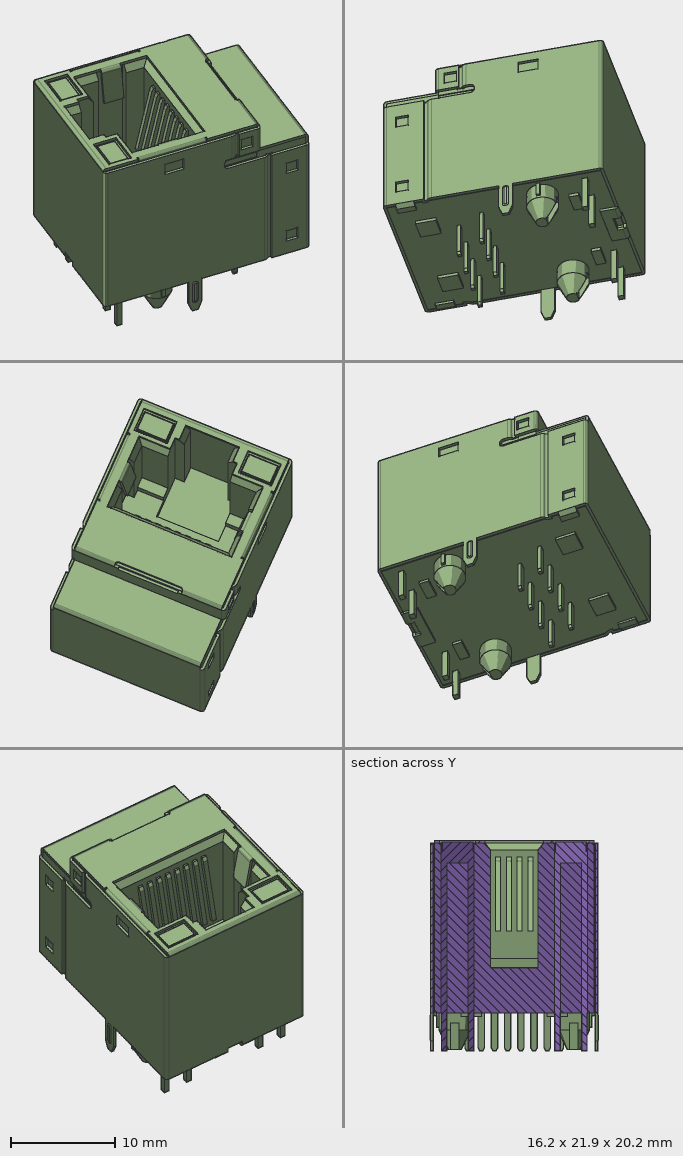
import cadquery as cq


half_width = 8.04
length = 21.85
height = 16.58
upper_length = 16.66
shelf_height = 13.56
sheet = 0.28
bend = 0.35
cover_half_width = 7.67
panel_inner = half_width - sheet
plate_bottom = height - sheet
shelf_bottom = shelf_height - sheet
rear_step = upper_length - sheet

slot_front = 12.75
slot_bottom = 12.54
slot_corner = 0.44
slot_relief_depth = 0.09
slot_relief_top = 13.2
lower_jog = (17.0, 17.78)
upper_jog = (13.56, 14.33)
tail_lap = 0.22
window_size = 1.25
rear_window_y = 19.95
rear_window_heights = (2.15, 10.42)
upper_window = (15.15, 14.94)
latch_window = (7.43, 14.68)
latch_window_length = 2.0

edge_tab = (3.8, 11.07)
edge_tab_bottom = 13.55
relief = 0.13
tab_bend = 0.26
notch_half_width = 3.5
notch_front = 16.12
notch_taper = 0.17
notch_wall_half_width = 3.1
notch_wall_top = 15.95

opening_half_width = 6.49
opening_front = 3.65
opening_rear = 11.4
lead_in = 0.52
lead_in_depth = 0.65
cavity_floor = 5.25
shoulder_rear = 5.25
shoulder_top = 6.12
latch_half_width = 3.23
latch_front = 2.45
latch_rear = 6.97
latch_floor = 4.37
key_half_width = 2.8
key_front = 0.87

finger_y = 7.51
finger_width = 2.07
finger_slot_width = 2.93
finger_slot_half_span = 6.8
finger_bend_run = 0.35
finger_tip_x = 5.57
finger_tip_z = 13.0

contact_count = 8
contact_pitch = 1.05
contact_width = 0.48
contact_thick = 0.4
contact_top = 14.95
contact_foot_y = 8.95
contact_foot_z = 7.86
pin_pitch = 1.27
pin_width = 0.63
pin_thick = 0.35
pin_rows = (12.93, 15.5)
pin_tip = 0.28
pin_tip_inset = 0.164
tail_bottom = -3.63

peg_x = 5.7
peg_y = 6.6
peg_diameter = 3.05
peg_tip_diameter = 1.25
peg_shoulder = -1.64
peg_bottom = -3.52
peg_slot_width = 0.8
peg_slot_top = -0.95
peg_slot_depth = 1.07
rib_width = 0.37
rib_bottom = -1.38
rib_height = 0.22
pad_x = 4.13
pad_width = 1.99
pad_height = 0.35
pad_ranges_y = ((3.17, 4.13), (17.35, 19.37))

tail_y = 9.65
tail_width = 1.38
tail_tip_width = 0.63
tail_taper_start = -2.7
boss_width = 0.61
boss_top = -0.13
boss_bottom = -2.66
boss_height = 0.07
boss_taper = 68
front_tab_half_width = 2.23
front_tab_length = 1.81
front_hole_half_width = 0.83
front_hole_height = 0.41
front_hole_depth = 0.87
front_recess_height = 0.26
rear_tab = (18.78, 20.62)
rear_tab_reach = 1.1
rear_tab_chamfer = 0.48

lamp_x = 5.44
lamp_y = 2.07
lamp_window = (3.43, 2.4)
lamp_pocket = (3.15, 2.0)
lamp_gap = 0.09
lens_rise = 0.13
lamp_base_top = 15.5
lamp_base_bottom = 14.41
lead_size = 0.55
lead_spacing = 2.58

SIDES = (-1, 1)


def block(x0, x1, y0, y1, z0, z1):
    """Axis-aligned box between two corners; X limits may come in either order."""
    solid = cq.Workplane("XY").box(abs(x1 - x0), y1 - y0, z1 - z0, centered=False)
    return solid.translate((min(x0, x1), y0, z0))


def side_profile(points, half):
    """Solid of a closed (Y, Z) outline, centred on X = 0."""
    return cq.Workplane("YZ").polyline(points).close().extrude(half, both=True)


def step_outline(front, rear, step, top, shelf):
    """(Y, Z) outline of the tall front block and the low rear block."""
    return [(front, 0), (rear, 0), (rear, shelf), (step, shelf), (step, top), (front, top)]


def jack_opening(z0, z1, inset=0.0):
    """Plug opening between two heights, shrunk by the inset."""
    half = opening_half_width - inset
    return block(-half, half, opening_front + inset, opening_rear - inset, z0, z1)


def cover():
    """Bent strip of front wall, top plate, rear step, shelf and rear wall."""
    outside = side_profile(step_outline(0, length, upper_length, height, shelf_height), cover_half_width)
    for y, z in ((0, height), (upper_length, height), (length, shelf_height)):
        outside = outside.edges(cq.selectors.NearestToPointSelector((0, y, z))).fillet(bend)
    inside = side_profile(
        step_outline(sheet, length - sheet, rear_step, plate_bottom, shelf_bottom), cover_half_width
    )
    return outside.cut(inside)


def folded_tab(side):
    """Side tab folded down from the top plate, inside the side panel."""
    return block(side * (cover_half_width - sheet), side * cover_half_width,
                 *edge_tab, edge_tab_bottom, height)


def round_folded_edge(plate, side):
    """Relieve both ends of a folded tab and round its fold."""
    for y in edge_tab:
        plate = plate.cut(
            block(side * (cover_half_width - sheet), side * half_width,
                  y - relief / 2, y + relief / 2, plate_bottom - sheet, height)
        )
    middle = (side * cover_half_width, sum(edge_tab) / 2, height)
    return plate.edges(cq.selectors.NearestToPointSelector(middle)).fillet(tab_bend)


def ring(rear, z0, z1):
    """Upright sheet wall around the front block or the whole part."""
    outside = block(-half_width, half_width, 0, rear, z0, z1).edges("|Z").fillet(bend)
    return outside.cut(block(-panel_inner, panel_inner, sheet, rear - sheet, z0, z1))


def jogged_panel(side, jog, z0, z1):
    """Stretch of side panel that steps in by one sheet thickness and runs on behind the flap."""
    start, end = jog
    middle = (start + end) / 2
    tail_end = end + tail_lap
    inner = panel_inner - sheet
    panel = (
        cq.Workplane("XY", origin=(0, 0, z0))
        .moveTo(half_width, start - sheet)
        .lineTo(half_width, start)
        .tangentArcPoint((half_width - sheet / 2, middle), relative=False)
        .tangentArcPoint((panel_inner, end), relative=False)
        .lineTo(panel_inner, tail_end)
        .lineTo(inner, tail_end)
        .lineTo(inner, end)
        .tangentArcPoint((inner + sheet / 2, middle), relative=False)
        .tangentArcPoint((panel_inner, start), relative=False)
        .lineTo(panel_inner, start - sheet)
        .close()
        .extrude(z1 - z0)
    )
    return panel if side > 0 else panel.mirror("YZ")


def wall_ring(rear, jog, z0, z1, panel_bottom, panel_top):
    """Ring with the overlap joint on both sides."""
    wall = ring(rear, z0, z1)
    for side in SIDES:
        wall = wall.cut(block(side * panel_inner, side * half_width, *jog, z0, z1))
        wall = wall.union(jogged_panel(side, jog, panel_bottom, panel_top))
    return wall


def side_slot(side):
    """Slot between the upper and the lower side panel, round at its front end."""
    slot = block(side * cover_half_width, side * half_width, slot_front, length, slot_bottom, shelf_height)
    return slot.edges("|X and <Y").fillet(slot_corner)


def side_window(side, y, z, width):
    return block(side * panel_inner, side * half_width, y - width / 2, y + width / 2,
                 z - window_size / 2, z + window_size / 2)


def spring_finger(side):
    """Finger bent from the top plate down into the opening."""
    bend_end = opening_half_width - finger_bend_run
    finger = (
        cq.Workplane("XZ", origin=(0, finger_y + finger_width / 2, 0))
        .moveTo(opening_half_width + sheet, height)
        .lineTo(opening_half_width, height)
        .tangentArcPoint((bend_end, height - finger_bend_run), relative=False)
        .lineTo(finger_tip_x, finger_tip_z)
        .lineTo(finger_tip_x + sheet, finger_tip_z)
        .lineTo(bend_end + sheet, plate_bottom)
        .lineTo(opening_half_width + sheet, plate_bottom)
        .close()
        .extrude(finger_width)
    )
    return finger if side > 0 else finger.mirror("YZ")


def board_tail(side):
    """Pointed solder tail with a raised bead, hanging from the side panel."""
    tail = (
        cq.Workplane("YZ", origin=(panel_inner, 0, 0))
        .polyline([
            (tail_y - tail_width / 2, sheet), (tail_y - tail_width / 2, tail_taper_start),
            (tail_y - tail_tip_width / 2, tail_bottom), (tail_y + tail_tip_width / 2, tail_bottom),
            (tail_y + tail_width / 2, tail_taper_start), (tail_y + tail_width / 2, sheet),
        ])
        .close()
        .extrude(sheet)
    )
    bead = (
        cq.Workplane("YZ", origin=(half_width, tail_y, (boss_top + boss_bottom) / 2))
        .slot2D(boss_top - boss_bottom, boss_width, 90)
        .extrude(boss_height, taper=boss_taper)
    )
    tail = tail.union(bead)
    return tail if side > 0 else tail.mirror("YZ")


def front_tab():
    """Tab bent under the housing from the front wall."""
    outline = [
        (0, bend), (0, -sheet), (front_tab_length, -sheet),
        (front_tab_length, 0), (sheet, 0), (sheet, bend),
    ]
    return side_profile(outline, front_tab_half_width).edges("<Y and <Z").fillet(bend)


def front_tab_hole(height_above_seat):
    """Space of the hole through the front fold, up to a given height."""
    half = front_hole_half_width
    return block(-half, half, 0, front_hole_depth, -sheet, height_above_seat)


def rear_side_tab(side):
    """Chamfered tab bent under the housing from the rear flap."""
    inner = half_width - rear_tab_reach
    tab = (
        cq.Workplane("XZ", origin=(0, rear_tab[1], 0))
        .polyline([(inner, 0), (half_width, 0), (half_width - rear_tab_chamfer, -sheet), (inner, -sheet)])
        .close()
        .extrude(rear_tab[1] - rear_tab[0])
    )
    return tab if side > 0 else tab.mirror("YZ")


def cover_notch():
    """Tapered notch, with the rear wall lowered inside it, in the rear fold of the top plate."""
    tip = notch_half_width - notch_taper
    wall = block(-notch_wall_half_width, notch_wall_half_width, rear_step, upper_length,
                 notch_wall_top, plate_bottom)
    notch = (
        cq.Workplane("XY", origin=(0, 0, plate_bottom))
        .polyline([
            (-notch_half_width, upper_length), (-notch_half_width, notch_front + notch_taper),
            (-tip, notch_front), (tip, notch_front),
            (notch_half_width, notch_front + notch_taper), (notch_half_width, upper_length),
        ])
        .close()
        .extrude(sheet)
    )
    return notch.union(wall)


def make_shell():
    plate = cover().cut(jack_opening(plate_bottom, height))
    plate = plate.cut(
        block(-latch_half_width, latch_half_width, latch_front, opening_rear, plate_bottom, height))
    plate = plate.cut(block(-key_half_width, key_half_width, key_front, latch_front, plate_bottom, height))
    for side in SIDES:
        window = cq.Workplane("XY").box(*lamp_window, sheet).translate(
            (side * lamp_x, lamp_y, plate_bottom + sheet / 2))
        plate = plate.cut(window).union(folded_tab(side))
        plate = round_folded_edge(plate, side)
    shell = plate.union(wall_ring(length, lower_jog, 0, shelf_bottom, 0, slot_bottom))
    shell = shell.union(
        wall_ring(upper_length, upper_jog, shelf_bottom, plate_bottom, shelf_height, plate_bottom))
    shell = shell.cut(cover_notch()).union(front_tab()).cut(front_tab_hole(front_hole_height))
    for side in SIDES:
        shell = shell.cut(side_slot(side))
        for z in rear_window_heights:
            shell = shell.cut(side_window(side, rear_window_y, z, window_size))
        shell = shell.cut(side_window(side, *upper_window, window_size))
        shell = shell.cut(side_window(side, *latch_window, latch_window_length))
        shell = shell.union(spring_finger(side)).union(board_tail(side)).union(rear_side_tab(side))
    return shell.solids().val()


def cavity():
    """Plug cavity with lead-in bevel, latch pocket, key slot and finger slots."""
    bevel_bottom = plate_bottom - lead_in_depth
    centre_y = (opening_front + opening_rear) / 2
    wide = (2 * opening_half_width, opening_rear - opening_front)
    bevel = (
        cq.Workplane("XY", origin=(0, centre_y, plate_bottom))
        .rect(*wide)
        .workplane(offset=-lead_in_depth)
        .rect(wide[0] - 2 * lead_in, wide[1] - 2 * lead_in)
        .loft()
    )
    inner_half = opening_half_width - lead_in
    shoulder = block(-inner_half, inner_half, opening_front, shoulder_rear, cavity_floor, shoulder_top)
    space = jack_opening(cavity_floor, bevel_bottom, lead_in).cut(shoulder).union(bevel)
    space = space.union(
        block(-latch_half_width, latch_half_width, latch_front, latch_rear, latch_floor, plate_bottom))
    key_inner = key_half_width - lead_in
    key = (
        cq.Workplane("XZ", origin=(0, latch_front, 0))
        .polyline([
            (-key_half_width, plate_bottom), (-key_inner, bevel_bottom), (-key_inner, latch_floor),
            (key_inner, latch_floor), (key_inner, bevel_bottom), (key_half_width, plate_bottom),
        ])
        .close()
        .extrude(latch_front - key_front)
    )
    finger_half = finger_slot_width / 2
    finger_slots = block(-finger_slot_half_span, finger_slot_half_span, finger_y - finger_half,
                         finger_y + finger_half, cavity_floor, plate_bottom)
    return space.union(key).union(finger_slots)


def contact(x):
    """Sloping spring contact from the rear cavity wall down into the cavity."""
    wall = opening_rear - lead_in
    outline = [
        (wall + contact_thick, contact_top), (wall - contact_thick / 2, contact_top),
        (wall - contact_thick, contact_top - contact_thick), (contact_foot_y, contact_foot_z),
        (contact_foot_y + contact_thick, contact_foot_z),
        (wall, contact_top - contact_thick), (wall + contact_thick, contact_top - contact_thick),
    ]
    return side_profile(outline, contact_width / 2).translate((x, 0, 0))


def solder_pin(x, y):
    """Flat signal pin with a tapered tip."""
    half = pin_width / 2
    tip = half - pin_tip_inset
    return (
        cq.Workplane("XZ", origin=(x, y + pin_thick / 2, 0))
        .polyline([
            (-half, pin_tip), (-half, tail_bottom + pin_tip), (-tip, tail_bottom),
            (tip, tail_bottom), (half, tail_bottom + pin_tip), (half, pin_tip),
        ])
        .close()
        .extrude(pin_thick)
    )


def locating_peg(side):
    """Tapered board peg with a slot at its front and a crush rib at its outer side."""
    radius = peg_diameter / 2
    peg = (
        cq.Workplane("XZ")
        .polyline([(0, sheet), (radius, sheet), (radius, peg_shoulder),
                   (peg_tip_diameter / 2, peg_bottom), (0, peg_bottom)])
        .close()
        .revolve(360, (0, 0, 0), (0, 1, 0))
    )
    half_slot = peg_slot_width / 2
    peg = peg.cut(block(-half_slot, half_slot, -radius, peg_slot_depth - radius, peg_bottom, peg_slot_top))
    peg = peg.union(block(0, side * (radius + rib_height), -rib_width / 2, rib_width / 2, rib_bottom, 0))
    return peg.translate((side * peg_x, peg_y, 0))


def standoff(side, y_range):
    return block(side * pad_x - pad_width / 2, side * pad_x + pad_width / 2, *y_range, -pad_height, 0)


def flank_relief(side):
    """Shallow recess in the housing flank behind the side slot."""
    return block(side * (cover_half_width - slot_relief_depth), side * cover_half_width,
                 slot_front, rear_step, slot_bottom, slot_relief_top)


def make_housing(other_bodies):
    housing = side_profile(
        step_outline(sheet, length - sheet, rear_step, plate_bottom, shelf_bottom), cover_half_width)
    housing = housing.cut(cavity()).cut(front_tab_hole(front_recess_height))
    for index in range(contact_count):
        place = index - (contact_count - 1) / 2
        housing = housing.union(contact(place * contact_pitch))
        housing = housing.union(solder_pin(place * pin_pitch, pin_rows[index % 2]))
    for side in SIDES:
        housing = housing.union(locating_peg(side))
        for y_range in pad_ranges_y:
            housing = housing.union(standoff(side, y_range))
        housing = housing.cut(lamp_recess(side)).cut(flank_relief(side))
    for body in other_bodies:
        housing = housing.cut(body)
    return housing.solids().val()


def lamp_recess(side):
    depth = plate_bottom - lamp_base_bottom
    recess = cq.Workplane("XY").box(*lamp_pocket, depth, centered=(True, True, False))
    return recess.translate((side * lamp_x, lamp_y, lamp_base_bottom))


def make_lamp(side):
    """Lamp base and lens with two leads running down through the housing."""
    upright = (True, True, False)
    lamp = cq.Workplane("XY").box(*lamp_pocket, lamp_base_top - lamp_base_bottom, centered=upright)
    lens = cq.Workplane("XY").box(lamp_pocket[0] - 2 * lamp_gap, lamp_pocket[1] - 2 * lamp_gap,
                                  plate_bottom + lens_rise - lamp_base_bottom, centered=upright)
    lamp = lamp.union(lens).translate((0, 0, lamp_base_bottom))
    for end in SIDES:
        lead = cq.Workplane("XY").box(lead_size, lead_size, lamp_base_bottom - tail_bottom, centered=upright)
        lamp = lamp.union(lead.translate((end * lead_spacing / 2, 0, tail_bottom)))
    return lamp.translate((side * lamp_x, lamp_y, 0)).solids().val()


shell = make_shell()
lamps = [make_lamp(side) for side in SIDES]
housing = make_housing([shell, *lamps])

result = cq.Compound.makeCompound([shell, housing, *lamps])